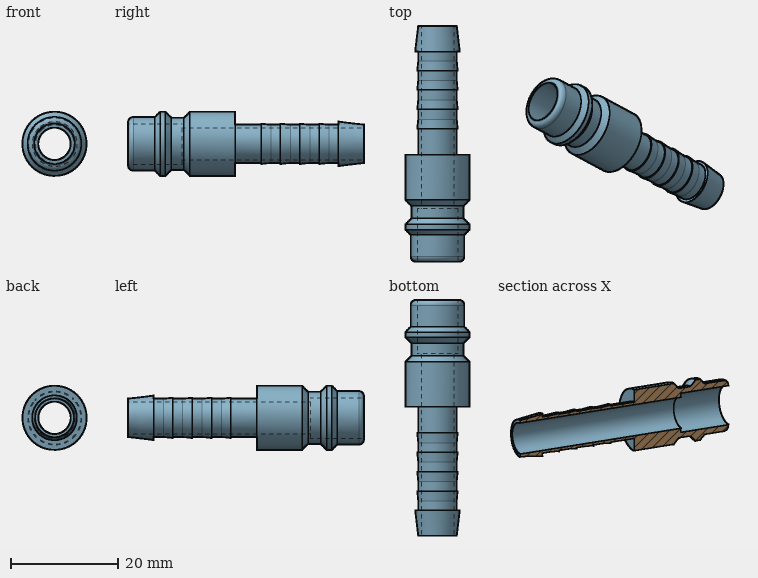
import cadquery as cq

total_length = 44.0

body_diameter = 12.0
body_radius = body_diameter / 2
body_end = 19.98
nose_radius = 5.0
nose_length = 5.0
nose_round = 1.0
neck_radius = 4.9
neck_start = 8.1
neck_end = 10.45

nose_shoulder = body_radius - nose_radius
neck_shoulder = body_radius - neck_radius

tail_radius = 3.6
tip_barb_radius = 4.2
tip_barb_length = 4.8
ring_barb_radius = 3.8
ring_barb_length = 1.8
ring_barb_pitch = 3.6
ring_barb_count = 4
first_ring_start = 24.8

bore_radius = 3.0
mouth_radius = 3.8
mouth_depth = 10.0

front_y = -total_length / 2


def revolve_profile(points):
    """Revolve (radius, distance from the plug face) points about the Y axis."""
    placed = [(radius, front_y + distance) for radius, distance in points]
    return cq.Workplane("XY").polyline(placed).close().revolve(360, (0, 0, 0), (0, 1, 0))


def cylinder(radius, start, end):
    return revolve_profile([(0, start), (radius, start), (radius, end), (0, end)])


def barb(large_radius, start, length):
    """Barb that tapers from its large end down to the tail radius toward +Y."""
    end = start + length
    return revolve_profile([(0, start), (large_radius, start), (tail_radius, end), (0, end)])


connector = revolve_profile([
    (0, 0),
    (nose_radius, 0),
    (nose_radius, nose_length),
    (body_radius, nose_length + nose_shoulder),
    (body_radius, neck_start - neck_shoulder),
    (neck_radius, neck_start),
    (neck_radius, neck_end),
    (body_radius, neck_end + neck_shoulder),
    (body_radius, body_end),
    (0, body_end),
])
connector = connector.faces("<Y").edges().fillet(nose_round)

tip_barb_start = total_length - tip_barb_length
connector = connector.union(cylinder(tail_radius, body_end, tip_barb_start))
connector = connector.union(barb(tip_barb_radius, tip_barb_start, tip_barb_length))
for index in range(ring_barb_count):
    ring_start = first_ring_start + index * ring_barb_pitch
    connector = connector.union(barb(ring_barb_radius, ring_start, ring_barb_length))

connector = connector.cut(cylinder(bore_radius, 0, total_length))
connector = connector.cut(cylinder(mouth_radius, 0, mouth_depth))

result = connector